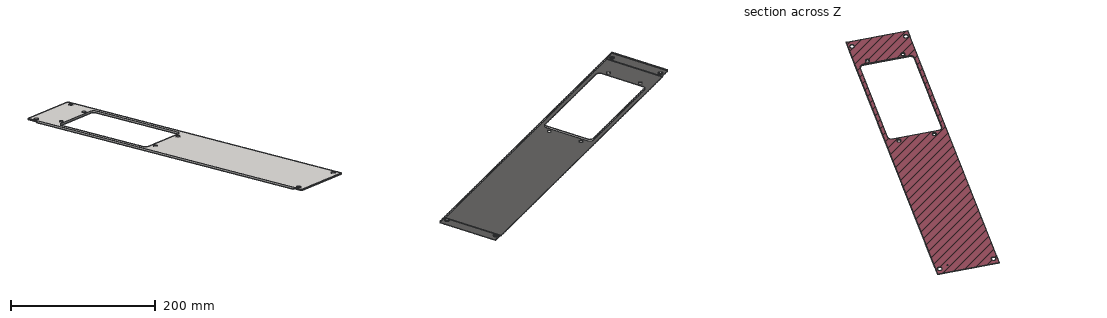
import cadquery as cq

length = 482.5
width = 89.0
thickness = 3.2

end_length = 15.0
end_thickness = 2.0

mount_diameter = 6.5
mount_pitch_x = 462.5
mount_pitch_y = 77.0

window_centre_x = -115.0
window_length = 154.5
window_width = 77.0
window_radius = 6.0
screw_diameter = 5.5
screw_pitch_x = 166.0
screw_pitch_y = 50.5


def plate(size_x, height):
    """Full-width plate hanging below the top face."""
    block = cq.Workplane("XY").box(size_x, width, height, centered=(True, True, False))
    return block.translate((0, 0, -height))


def hole_pattern(centre_x, pitch_x, pitch_y, diameter):
    """Four through-hole cutters at the corners of a rectangle."""
    return (
        cq.Workplane("XY")
        .center(centre_x, 0)
        .rect(pitch_x, pitch_y, forConstruction=True)
        .vertices()
        .circle(diameter / 2)
        .extrude(-thickness)
    )


def window():
    """Through-cutter with rounded vertical corners."""
    return (
        cq.Workplane("XY")
        .center(window_centre_x, 0)
        .rect(window_length, window_width)
        .extrude(-thickness)
        .edges("|Z")
        .fillet(window_radius)
    )


panel = plate(length, end_thickness).union(plate(length - 2 * end_length, thickness))

mount_holes = hole_pattern(0, mount_pitch_x, mount_pitch_y, mount_diameter)
screw_holes = hole_pattern(window_centre_x, screw_pitch_x, screw_pitch_y, screw_diameter)

result = panel.cut(window()).cut(mount_holes).cut(screw_holes)